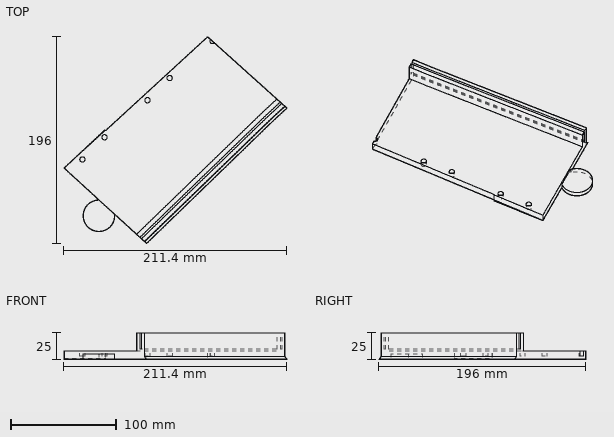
import cadquery as cq
import math

plate_height = 8.0
wall_height = 25.0
foot_height = 2.5
slot_floor_height = 10.0
disc_height = 5.0
lip_height = 0.6
hole_floor_height = 3.0


def shift(point, move):
    return (point[0] + move[0], point[1] + move[1])


def along_edge(start, end, run):
    """Point on the edge from start toward end, a distance run away in X."""
    slope = (end[1] - start[1]) / (end[0] - start[0])
    return shift(start, (run, run * slope))


west = (0.0, 71.5)
north = (136.1, 195.97)
east = (211.4, 128.3)
south = (78.3, 0.0)

foot_bend = (199.5, 117.4)
foot_slope_run = 2.5

face_setback = 2.15
outer_face = [
    along_edge(south, west, -face_setback),
    (195.2, 117.2),
    along_edge(east, north, -face_setback),
]
wall_thickness = 10.0
slot_width = 2.0
slot_inset = 3.7
end_overrun = 20.0

recess_end = (39.4, 107.1)
recess_step = (39.1, 107.3)
lip_corner = (38.4, 107.4)

hole_diameter = 5.0
first_hole = (17.4, 79.7)
pair_count = 3
pair_pitch = (61.7, 56.1)
step_in_pair = (21.0, 21.0)

disc_diameter = 30.0
disc_center = (33.1, 26.3)


def prism(points, bottom, top):
    """Upright prism over a closed outline."""
    return cq.Workplane("XY").workplane(offset=bottom).polyline(points).close().extrude(top - bottom)


def bent_line(points, inset):
    """Line through start, bend and end, set inward to the left and run past both ends."""
    start, bend, end = points
    first = math.atan2(bend[1] - start[1], bend[0] - start[0])
    last = math.atan2(end[1] - bend[1], end[0] - bend[0])
    middle = (first + last) / 2
    miter = inset / math.cos((last - first) / 2)

    def place(point, direction, inward, forward):
        return (
            point[0] - inward * math.sin(direction) + forward * math.cos(direction),
            point[1] + inward * math.cos(direction) + forward * math.sin(direction),
        )

    return [
        place(start, first, inset, -end_overrun),
        place(bend, middle, miter, 0),
        place(end, last, inset, end_overrun),
    ]


def band_outline(points, outer_inset, inner_inset):
    """Closed outline between two lines parallel to the given bent line."""
    return bent_line(points, outer_inset) + bent_line(points, inner_inset)[::-1]


def trim_ends(band):
    """Cut a band off at the plate's southwest and northeast edges."""
    return band.intersect(prism([west, north, east, foot_bend, south], 0, wall_height))


def make_foot():
    """Strip whose southeast side slopes in to the ledge."""
    line = [south, foot_bend, east]
    foot = (
        cq.Workplane("XY")
        .polyline(band_outline(line, 0, wall_thickness))
        .close()
        .workplane(offset=foot_height)
        .polyline(band_outline(line, foot_slope_run, wall_thickness))
        .close()
        .loft(ruled=True)
    )
    return trim_ends(foot)


def make_plate():
    outline = [west, recess_step, recess_end, north] + outer_face[::-1]
    return prism(outline, 0, plate_height)


def make_wall():
    """Tall wall with a slot open at the top and both ends."""
    wall = prism(band_outline(outer_face, 0, wall_thickness), 0, wall_height)
    slot_outline = band_outline(outer_face, slot_inset, slot_inset + slot_width)
    slot = prism(slot_outline, slot_floor_height, wall_height)
    return trim_ends(wall.cut(slot))


def make_lip():
    return prism([west, lip_corner, recess_step], 0, lip_height)


def make_disc():
    return cq.Workplane("XY").center(*disc_center).circle(disc_diameter / 2).extrude(disc_height)


def make_holes():
    centers = []
    for pair in range(pair_count):
        near = shift(first_hole, (pair * pair_pitch[0], pair * pair_pitch[1]))
        centers += [near, shift(near, step_in_pair)]
    floor = cq.Workplane("XY").workplane(offset=hole_floor_height)
    return floor.pushPoints(centers).circle(hole_diameter / 2).extrude(plate_height - hole_floor_height)


body = make_foot().union(make_plate()).union(make_lip()).union(make_wall()).union(make_disc())
result = body.cut(make_holes()).clean()